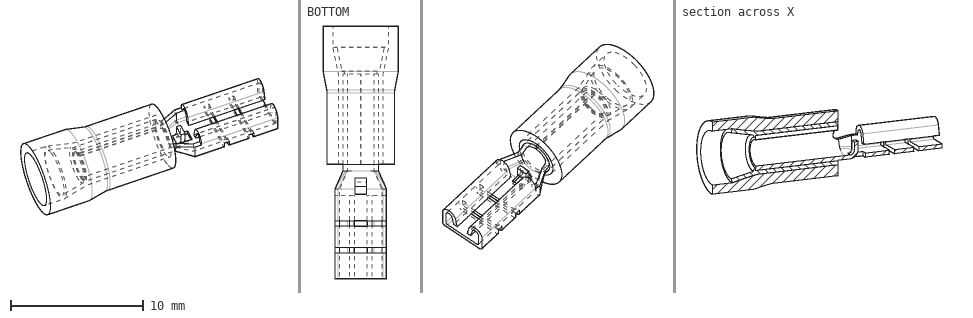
import cadquery as cq
import math


diagonal = math.sqrt(0.5)

total_length = 19.08
wall = 0.35
barrel_radius = 1.35
barrel_bore_radius = barrel_radius - wall

housing_length = 10.44
entry_radius = 2.85
rear_radius = 2.55
entry_length = 3.43
cone_length = 1.37
cone_blend_length = 0.23
wire_hole_radius = 2.1

sleeve_mouth_radius = 1.8
sleeve_mouth_depth = 1.56
throat_radius = 1.41
lip_bore_radius = 1.2
cone_slope = (entry_radius - rear_radius) / cone_length
flare_angle = math.atan(cone_slope)
sleeve_wall = (wire_hole_radius - sleeve_mouth_radius) / math.cos(flare_angle)
sleeve_radius = barrel_radius + sleeve_wall

receptacle_start = 12.29
curl_start = 12.8
taper_start = 10.95
lip_start = sleeve_mouth_depth + (sleeve_mouth_radius - throat_radius) / cone_slope
lip_radius = throat_radius - lip_bore_radius
barrel_start = lip_start + lip_radius
neck_length = taper_start - housing_length
slit_width = 0.04

half_width = 1.95
floor_bottom = -barrel_radius
outer_corner_radius = 0.25
inner_corner_radius = 0.15
corner_arc_center = -36.0
corner_arc_angle = 8.0

curl_radius = 0.65
curl_center_x = half_width - curl_radius
curl_center_z = 0.15
curl_leg_angle = math.radians(13)
curl_tip_z = -0.48

slot_width = 0.4
slot_top = -0.75
slot_centers = (14.9, 16.92)

tab_width = 0.85
tab_top = -0.04
tab_bend_radius = 0.32
window_start = 11.45
window_end = 12.69


def ring_point(radius, angle):
    """Sketch point on a circle about the barrel axis, angle in degrees."""
    return (radius * math.cos(math.radians(angle)), radius * math.sin(math.radians(angle)))


def xz_plane(y):
    """Sketch plane at the given Y with local axes (-X, Z), extruding toward +Y."""
    return cq.Plane(origin=(0, y, 0), xDir=(-1, 0, 0), normal=(0, 1, 0))


def rod(radius, start, end):
    """Cylinder along the barrel axis between two Y positions."""
    return cq.Workplane(xz_plane(start)).circle(radius).extrude(end - start)


def revolve_about_y(profile):
    """Revolve a closed profile drawn as (radius, Y) about the Y axis."""
    return profile.close().revolve(360, (0, 0, 0), (0, 1, 0))



outer_rim = (wire_hole_radius, sleeve_mouth_depth + sleeve_wall * math.sin(flare_angle))
outer_cone_end = (sleeve_radius, outer_rim[1] + (wire_hole_radius - sleeve_radius) / cone_slope)


def make_sleeve():
    """Tube around the wire barrel with a flared mouth and an inner lip that covers the barrel end."""
    arc_middle = lip_radius * diagonal
    profile = (
        cq.Workplane("XY")
        .moveTo(sleeve_mouth_radius, sleeve_mouth_depth)
        .lineTo(throat_radius, lip_start)
        .threePointArc((throat_radius - arc_middle, barrel_start - arc_middle), (lip_bore_radius, barrel_start))
        .lineTo(barrel_radius, barrel_start)
        .lineTo(barrel_radius, housing_length)
        .lineTo(sleeve_radius, housing_length)
        .lineTo(*outer_cone_end)
        .lineTo(*outer_rim)
    )
    return revolve_about_y(profile)



def make_housing():
    """Stepped insulator whose bore follows the outside of the sleeve."""
    cone_end = entry_length + cone_length
    cone_angle = math.atan((entry_radius - rear_radius) / (cone_length + cone_blend_length / 2))
    blend_radius = cone_blend_length / math.sin(cone_angle)
    cone_end_radius = rear_radius + blend_radius * (1 - math.cos(cone_angle))
    profile = (
        cq.Workplane("XY")
        .moveTo(wire_hole_radius, 0)
        .lineTo(entry_radius, 0)
        .lineTo(entry_radius, entry_length)
        .lineTo(cone_end_radius, cone_end)
        .tangentArcPoint((rear_radius, cone_end + cone_blend_length), relative=False)
        .lineTo(rear_radius, housing_length)
        .lineTo(sleeve_radius, housing_length)
        .lineTo(*outer_cone_end)
        .lineTo(*outer_rim)
    )
    return revolve_about_y(profile)



def make_barrel():
    """Rolled wire barrel with its seam on top, cut down to a half tube at the neck."""
    length = taper_start - barrel_start
    barrel = rod(barrel_radius, barrel_start, taper_start)
    barrel = barrel.cut(rod(barrel_bore_radius, barrel_start, taper_start))
    slit = cq.Workplane("XY").box(slit_width, length, barrel_radius, centered=(True, False, False))
    barrel = barrel.cut(slit.translate((0, barrel_start, 0)))
    arc_middle = neck_length * (1 - diagonal)
    neck_opening = (
        cq.Workplane("YZ")
        .moveTo(taper_start, 0)
        .threePointArc((taper_start - neck_length + arc_middle, arc_middle), (housing_length, neck_length))
        .lineTo(housing_length, barrel_radius)
        .lineTo(taper_start, barrel_radius)
        .close()
        .extrude(barrel_radius, both=True)
    )
    return barrel.cut(neck_opening)


def channel_wire(y, half, bottom, corner):
    """Closed outline of a channel below Z = 0 with rounded lower corners."""
    nook = corner * (1 - diagonal)
    return (
        cq.Workplane(xz_plane(y))
        .moveTo(half, 0)
        .lineTo(half, bottom + corner)
        .threePointArc((half - nook, bottom + nook), (half - corner, bottom))
        .lineTo(corner - half, bottom)
        .threePointArc((nook - half, bottom + nook), (-half, bottom + corner))
        .lineTo(-half, 0)
        .close()
        .val()
    )


def half_round_wire(y, radius):
    """Closed half disc below Z = 0, split into arcs that match the edges of the channel outline."""
    corner_start = corner_arc_center + corner_arc_angle / 2
    corner_end = corner_arc_center - corner_arc_angle / 2
    breaks = (0, corner_start, corner_end, -180 - corner_end, -180 - corner_start, -180)
    sketch = cq.Workplane(xz_plane(y)).moveTo(radius, 0)
    for first, last in zip(breaks, breaks[1:]):
        sketch = sketch.threePointArc(ring_point(radius, (first + last) / 2), ring_point(radius, last))
    return sketch.close().val()


def make_taper():
    """Transition from the half tube at the neck to the flat-bottomed receptacle."""
    outer = cq.Solid.makeLoft([
        half_round_wire(taper_start, barrel_radius),
        channel_wire(receptacle_start, half_width, floor_bottom, outer_corner_radius),
    ], True)
    inner = cq.Solid.makeLoft([
        half_round_wire(taper_start, barrel_bore_radius),
        channel_wire(receptacle_start, half_width - wall, floor_bottom + wall, inner_corner_radius),
    ], True)
    return cq.Workplane(obj=outer.cut(inner))


def make_channel():
    """Floor and straight side walls of the receptacle."""
    outer = channel_wire(receptacle_start, half_width, floor_bottom, outer_corner_radius)
    inner = channel_wire(receptacle_start, half_width - wall, floor_bottom + wall, inner_corner_radius)
    run = cq.Vector(0, total_length - receptacle_start, 0)
    channel = cq.Solid.extrudeLinear(outer, [], run).cut(cq.Solid.extrudeLinear(inner, [], run))
    return cq.Workplane(obj=channel)


def make_curl():
    """Side wall top rolled inward into a downward leg that presses on the blade."""
    inner_radius = curl_radius - wall
    leg_start_angle = math.pi - curl_leg_angle

    def on_curl(radius, angle):
        return (curl_center_x + radius * math.cos(angle), curl_center_z + radius * math.sin(angle))

    def leg_tip(radius):
        start_x, start_z = on_curl(radius, leg_start_angle)
        return (start_x - (start_z - curl_tip_z) * math.tan(curl_leg_angle), curl_tip_z)

    return (
        cq.Workplane(xz_plane(curl_start))
        .moveTo(half_width, 0)
        .lineTo(*on_curl(curl_radius, 0))
        .threePointArc(on_curl(curl_radius, leg_start_angle / 2), on_curl(curl_radius, leg_start_angle))
        .lineTo(*leg_tip(curl_radius))
        .lineTo(*leg_tip(inner_radius))
        .lineTo(*on_curl(inner_radius, leg_start_angle))
        .threePointArc(on_curl(inner_radius, leg_start_angle / 2), on_curl(inner_radius, 0))
        .lineTo(half_width - wall, 0)
        .close()
        .extrude(total_length - curl_start)
    )


def make_tab():
    """Tongue cut from the floor and bent upright."""
    center_z = floor_bottom + wall + tab_bend_radius
    outer_radius = tab_bend_radius + wall
    return (
        cq.Workplane("YZ")
        .moveTo(window_start, floor_bottom)
        .threePointArc((window_start + outer_radius * diagonal, center_z - outer_radius * diagonal),
                       (window_start + outer_radius, center_z))
        .lineTo(window_start + outer_radius, tab_top)
        .lineTo(window_start + tab_bend_radius, tab_top)
        .lineTo(window_start + tab_bend_radius, center_z)
        .threePointArc((window_start + tab_bend_radius * diagonal, center_z - tab_bend_radius * diagonal),
                       (window_start, floor_bottom + wall))
        .close()
        .extrude(tab_width / 2, both=True)
    )


def floor_cut(width, start, length, top):
    """Box that removes the floor up to the given Z."""
    box = cq.Workplane("XY").box(width, length, top - floor_bottom, centered=(True, False, False))
    return box.translate((0, start, floor_bottom))


def make_terminal():
    terminal = make_barrel().union(make_taper()).union(make_channel())
    curl = make_curl()
    terminal = terminal.union(curl).union(curl.mirror("YZ"))
    for center in slot_centers:
        terminal = terminal.cut(floor_cut(2 * half_width, center - slot_width / 2, slot_width, slot_top))
    terminal = terminal.cut(floor_cut(tab_width, window_start, window_end - window_start, slot_top))
    return terminal.union(make_tab())


housing = make_housing()
sleeve = make_sleeve()
terminal = make_terminal()

result = cq.Compound.makeCompound([housing.val(), sleeve.val(), terminal.val()])